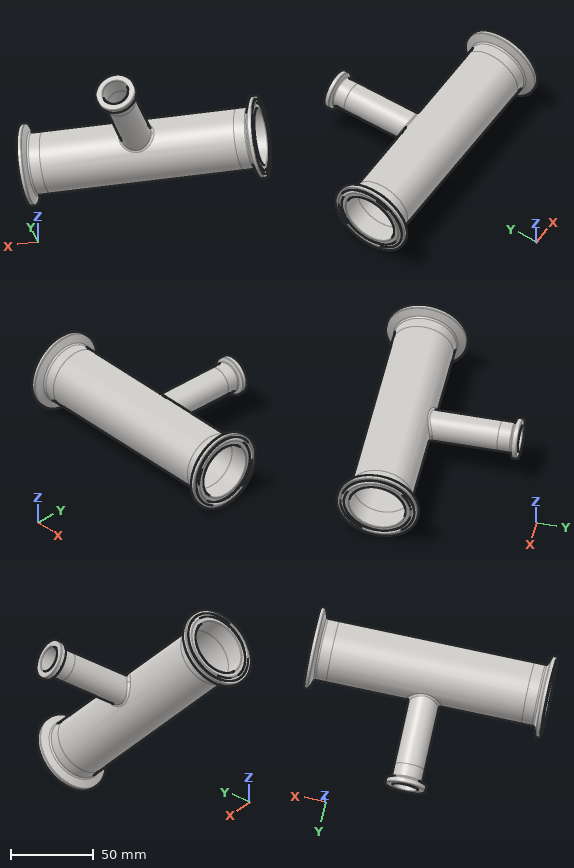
import cadquery as cq
import math

run_length = 146.0
run_outer_radius = 38.1 / 2
run_bore_radius = 34.8 / 2
run_flange_radius = 50.4 / 2
run_rim_width = 2.9
run_neck_radius = 1.2

overall_depth = 98.3
branch_length = overall_depth - run_flange_radius
branch_outer_radius = 19.0 / 2
branch_bore_radius = 15.8 / 2
branch_flange_radius = 25.0 / 2
branch_rim_width = 3.5
branch_neck_radius = 0.6

ferrule_length = 12.7
flange_back_angle = 20.0
edge_round = 0.5

groove_inner_radius = 20.7
groove_outer_radius = 22.8
groove_depth = 1.3

weld_radius = 1.5


def ferrule(outer_radius, bore_radius, flange_radius, rim_width, neck_radius, grooved):
    """Bored ferrule along X, with its sealing face at X = 0 and its tube end at X = ferrule_length.

    The back of the flange is a cone that blends into the tube through a neck arc.
    """
    cone_width = (flange_radius - outer_radius) * math.tan(math.radians(flange_back_angle))
    cone_end = rim_width + cone_width

    turn = math.radians(90 - flange_back_angle)
    tangent_length = neck_radius * math.tan(turn / 2)
    neck_center_x = cone_end + tangent_length
    neck_center_r = outer_radius + neck_radius
    neck_start = (
        cone_end - tangent_length * math.cos(turn),
        outer_radius + tangent_length * math.sin(turn),
    )
    neck_middle = (
        neck_center_x - neck_radius * math.sin(turn / 2),
        neck_center_r - neck_radius * math.cos(turn / 2),
    )
    neck_end = (neck_center_x, outer_radius)

    profile = cq.Workplane("XY").moveTo(0, bore_radius)
    if grooved:
        groove_bottom = (groove_depth, (groove_inner_radius + groove_outer_radius) / 2)
        profile = profile.lineTo(0, groove_inner_radius)
        profile = profile.threePointArc(groove_bottom, (0, groove_outer_radius))
    profile = (
        profile.lineTo(0, flange_radius)
        .lineTo(rim_width, flange_radius)
        .lineTo(*neck_start)
        .threePointArc(neck_middle, neck_end)
        .lineTo(ferrule_length, outer_radius)
        .lineTo(ferrule_length, bore_radius)
        .close()
    )
    body = profile.revolve(360, (0, 0, 0), (1, 0, 0))

    rim_back_edge = cq.selectors.BoxSelector(
        (rim_width - edge_round / 2, -2 * flange_radius, -2 * flange_radius),
        (rim_width + edge_round / 2, 2 * flange_radius, 2 * flange_radius),
        boundingbox=True,
    )
    body = body.edges(rim_back_edge).fillet(edge_round)
    return body.faces("<X").edges().fillet(edge_round)


def run_cylinder(radius):
    """Cylinder along X that fills the run between its two ferrules."""
    return cq.Workplane("YZ").circle(radius).extrude(run_length / 2 - ferrule_length, both=True)


def branch_cylinder(radius):
    """Cylinder along +Y from the run's axis to the branch ferrule."""
    return cq.Workplane("XZ").circle(radius).extrude(ferrule_length - branch_length)


def tee():
    """Two welded tubes with bores that meet inside."""
    outside = run_cylinder(run_outer_radius).union(branch_cylinder(branch_outer_radius))

    reach = branch_outer_radius + weld_radius
    joint_curve = cq.selectors.BoxSelector(
        (-reach, 0, -reach),
        (reach, run_outer_radius + weld_radius, reach),
        boundingbox=True,
    )
    outside = outside.edges(joint_curve).fillet(weld_radius)
    return outside.cut(run_cylinder(run_bore_radius)).cut(branch_cylinder(branch_bore_radius))


left_ferrule = ferrule(
    run_outer_radius,
    run_bore_radius,
    run_flange_radius,
    run_rim_width,
    run_neck_radius,
    grooved=True,
).translate((-run_length / 2, 0, 0))

branch_ferrule = ferrule(
    branch_outer_radius,
    branch_bore_radius,
    branch_flange_radius,
    branch_rim_width,
    branch_neck_radius,
    grooved=False,
)
branch_ferrule = branch_ferrule.rotate((0, 0, 0), (0, 0, 1), -90).translate((0, branch_length, 0))

result = tee().union(left_ferrule).union(left_ferrule.mirror("YZ")).union(branch_ferrule)